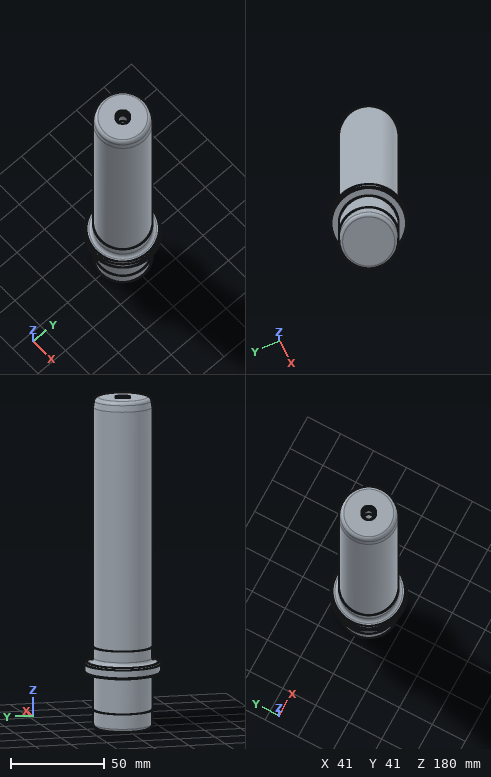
import cadquery as cq
import math

length = 180.0
shaft_radius = 16.0
fit_relief = 0.09
collar_radius = 20.5

collar_bottom = 30.0
collar_top = 36.0
sliding_bottom = 44.3
pilot_height = 10.0

base_round = 2.0
root_fillet = 2.2
collar_top_chamfer = 1.0
collar_bottom_chamfer = 0.5
lead_height = 5.4
lead_radius = 15.5
top_round_height = 2.0
top_face_radius = 13.3

groove_height = 0.9
groove_depth = 0.5

hole_radius = 2.7
hole_mouth_radius = 4.0
recess_radius = 3.5
recess_depth = 3.6
hole_depth = 10.8
mouth_half_angle = math.radians(30)
tip_half_angle = math.radians(59)


def quarter_arc(outline, start, end, center):
    """Add a quarter round, given its ends and its centre."""
    (x0, z0), (x1, z1), (xc, zc) = start, end, center
    s = math.sqrt(0.5)
    middle = (xc + s * (x0 + x1 - 2 * xc), zc + s * (z0 + z1 - 2 * zc))
    return outline.threePointArc(middle, end)


def make_pin():
    """Revolve the half outline, drawn upward from the bottom face."""
    fitted_radius = shaft_radius - fit_relief
    groove_radius = shaft_radius - groove_depth
    root_radius = fitted_radius + root_fillet
    root_top = collar_top + root_fillet
    lower_side = collar_bottom + collar_bottom_chamfer
    upper_side = collar_top - collar_top_chamfer
    base_face_radius = fitted_radius - base_round

    outline = cq.Workplane("XZ").lineTo(base_face_radius, 0)
    outline = quarter_arc(outline, (base_face_radius, 0), (fitted_radius, base_round),
                          (base_face_radius, base_round))
    outline = (
        outline.lineTo(fitted_radius, pilot_height)
        .lineTo(shaft_radius, pilot_height)
        .lineTo(shaft_radius, collar_bottom - groove_height)
        .lineTo(groove_radius, collar_bottom - groove_height + groove_depth)
        .lineTo(groove_radius, collar_bottom)
        .lineTo(collar_radius - collar_bottom_chamfer, collar_bottom)
        .lineTo(collar_radius, lower_side)
        .lineTo(collar_radius, upper_side)
        .lineTo(collar_radius - collar_top_chamfer, collar_top)
        .lineTo(root_radius, collar_top)
    )
    outline = quarter_arc(outline, (root_radius, collar_top), (fitted_radius, root_top),
                          (root_radius, root_top))
    outline = (
        outline.lineTo(fitted_radius, sliding_bottom)
        .lineTo(shaft_radius, sliding_bottom)
        .lineTo(shaft_radius, length - lead_height)
        .lineTo(lead_radius, length - top_round_height)
        .tangentArcPoint((top_face_radius, length), relative=False)
        .lineTo(0, length)
        .close()
    )
    return outline.revolve(360, (0, 0, 0), (0, 1, 0))


def make_center_hole():
    """Drilled hole with a conical tip, a short recess and a countersunk mouth."""
    mouth_depth = (hole_mouth_radius - recess_radius) / math.tan(mouth_half_angle)
    tip_depth = hole_radius / math.tan(tip_half_angle)
    return (
        cq.Workplane("XZ", origin=(0, 0, length))
        .lineTo(hole_mouth_radius, 0)
        .lineTo(recess_radius, -mouth_depth)
        .lineTo(recess_radius, -recess_depth)
        .lineTo(hole_radius, -recess_depth)
        .lineTo(hole_radius, -hole_depth)
        .lineTo(0, -hole_depth - tip_depth)
        .close()
        .revolve(360, (0, 0, 0), (0, 1, 0))
    )


result = make_pin().cut(make_center_hole())